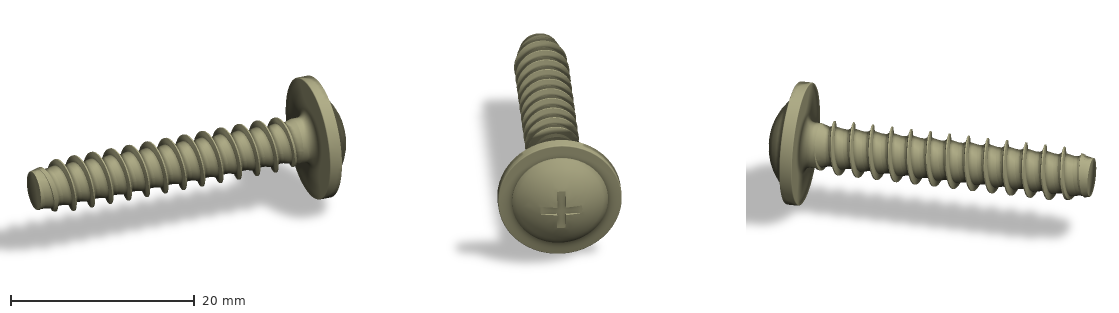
import cadquery as cq
import math

total_length = 35.9
shank_length = 31.95

flange_radius = 6.75
flange_thickness = 1.4
flange_edge_round = 0.1
dome_base_radius = 5.25
dome_radius = 6.85

slot_width = 0.95
slot_depth = 0.35

slot_corner_radius = slot_width / math.sqrt(2)
crown_drop = dome_radius - math.sqrt(dome_radius**2 - slot_corner_radius**2)
dome_top = total_length - shank_length + crown_drop
dome_base = dome_top - dome_radius + math.sqrt(dome_radius**2 - dome_base_radius**2)

neck_radius = 2.48
neck_length = 1.47
neck_fillet = 0.8
neck_taper_end = 2.73
core_radius = 2.12

crest_radius = 2.98
first_crest_depth = 4.67
last_crest_depth = 28.23
turns_between_crests = 11
pitch = (last_crest_depth - first_crest_depth) / turns_between_crests

crest_half_width = 0.07
tooth_base_half_width = 0.25
tooth_base_radius = 2.3
tip_side_root_width = 1.33
head_side_root_width = 0.57
root_sink = 0.05
core_overlap = 0.35
root_radius = core_radius - root_sink
inner_radius = core_radius - core_overlap

run_out_start_radius = 2.6
run_out_clearance = 0.18
run_out_full_radius = crest_radius + run_out_clearance
neck_run_out_end = 4.55
tip_run_out_start = 28.05


def revolve_about_axis(profile):
    """Turn a closed half-section in the XY plane about the screw axis."""
    return profile.revolve(360, (0, 0, 0), (0, 1, 0))


def make_head():
    """Dome, flange with rounded edges, filleted neck and taper down to the core."""
    dome_half_angle = math.asin(dome_base_radius / dome_radius) / 2
    dome_mid = (
        dome_radius * math.sin(dome_half_angle),
        dome_top - dome_radius * (1 - math.cos(dome_half_angle)),
    )
    fillet_inset = neck_fillet * (1 - math.sqrt(0.5))
    profile = (
        cq.Workplane("XY")
        .moveTo(0, dome_top)
        .threePointArc(dome_mid, (dome_base_radius, dome_base))
        .lineTo(dome_base_radius, flange_thickness)
        .lineTo(flange_radius - flange_edge_round, flange_thickness)
        .radiusArc((flange_radius, flange_thickness - flange_edge_round), flange_edge_round)
        .lineTo(flange_radius, flange_edge_round)
        .radiusArc((flange_radius - flange_edge_round, 0), flange_edge_round)
        .lineTo(neck_radius + neck_fillet, 0)
        .threePointArc((neck_radius + fillet_inset, -fillet_inset), (neck_radius, -neck_fillet))
        .lineTo(neck_radius, -neck_length)
        .lineTo(core_radius, -neck_taper_end)
        .lineTo(0, -neck_taper_end)
        .close()
    )
    return revolve_about_axis(profile)


def make_cross_slots():
    """Two crossed driver slots, long enough to run out through the dome."""
    slot_length = 2 * dome_base_radius
    slot_floor = total_length - shank_length - slot_depth
    cut_height = 2 * slot_depth
    base = cq.Workplane("XZ", origin=(0, slot_floor, 0))
    slot_along_x = base.rect(slot_length, slot_width).extrude(-cut_height)
    slot_along_z = base.rect(slot_width, slot_length).extrude(-cut_height)
    return slot_along_x.union(slot_along_z)


def make_thread():
    """Helical tooth, passing both ends of the threaded stretch."""
    turns_below = math.ceil((shank_length - first_crest_depth) / pitch)
    turns_above = math.ceil((first_crest_depth - neck_length) / pitch)
    start = -first_crest_depth - turns_below * pitch
    height = (turns_below + turns_above) * pitch

    helix = cq.Wire.makeHelix(pitch, height, core_radius, center=cq.Vector(0, 0, start))
    tooth_outline = [
        (inner_radius, start - tip_side_root_width),
        (root_radius, start - tip_side_root_width),
        (tooth_base_radius, start - tooth_base_half_width),
        (crest_radius, start - crest_half_width),
        (crest_radius, start + crest_half_width),
        (tooth_base_radius, start + tooth_base_half_width),
        (root_radius, start + head_side_root_width),
        (inner_radius, start + head_side_root_width),
    ]
    thread = (
        cq.Workplane("XZ")
        .polyline(tooth_outline)
        .close()
        .sweep(cq.Workplane(helix), isFrenet=True)
    )
    return thread.rotate((0, 0, 0), (1, 0, 0), -90)


def make_threaded_shank():
    """Core with its thread, trimmed to length and by the run-out cones."""
    core_length = shank_length + 2 * pitch
    core = cq.Workplane("XZ").circle(core_radius).extrude(core_length)
    envelope_outline = [
        (0, -neck_length),
        (run_out_start_radius, -neck_length),
        (run_out_full_radius, -neck_run_out_end),
        (run_out_full_radius, -tip_run_out_start),
        (core_radius, -shank_length),
        (0, -shank_length),
    ]
    envelope = revolve_about_axis(cq.Workplane("XY").polyline(envelope_outline).close())
    return core.union(make_thread()).intersect(envelope)


result = make_head().cut(make_cross_slots()).union(make_threaded_shank()).solids()